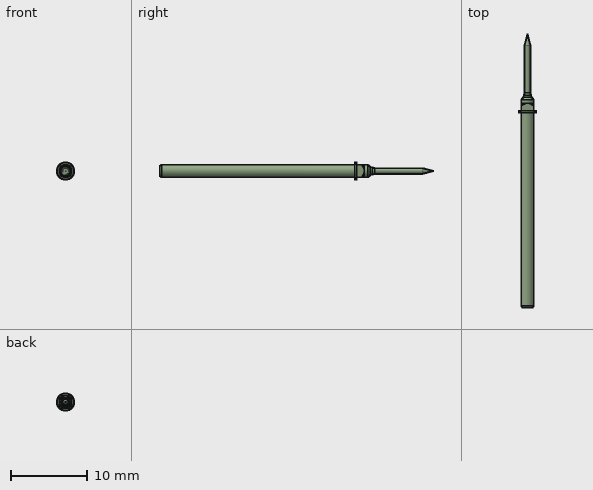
import cadquery as cq

total_length = 35.8
tip_length = 1.43
shaft_end = 7.7
neck_end = 8.02
shoulder_start = 8.27
shoulder_end = 8.55
square_start = 9.02
flange_start = 10.02
flange_thickness = 0.3
end_chamfer_length = 0.25

point_diameter = 0.05
shaft_diameter = 0.8
neck_diameter = 1.0
taper_diameter = 1.18
body_diameter = 1.65
end_face_diameter = 1.3
flange_diameter = 2.3

square_side = body_diameter

tip_y = total_length / 2


def round_section(start, end, start_diameter, end_diameter=None):
    """Solid of revolution about Y between two stations: a cylinder, or a cone if the diameters differ."""
    start_radius = start_diameter / 2
    end_radius = (end_diameter or start_diameter) / 2
    return (
        cq.Workplane("YZ")
        .moveTo(tip_y - start, 0)
        .lineTo(tip_y - start, start_radius)
        .lineTo(tip_y - end, end_radius)
        .lineTo(tip_y - end, 0)
        .close()
        .revolve(360, (0, 0, 0), (1, 0, 0))
    )


def needle():
    """Pointed tip and slender shaft."""
    tip = round_section(0, tip_length, point_diameter, shaft_diameter)
    shaft = round_section(tip_length, shaft_end, shaft_diameter)
    return tip.union(shaft)


def shoulder():
    """Flared neck and tapered transition from the shaft up to the body diameter."""
    flare = round_section(shaft_end, neck_end, shaft_diameter, neck_diameter)
    neck = round_section(neck_end, shoulder_start, neck_diameter)
    taper = round_section(shoulder_start, shoulder_end, taper_diameter, body_diameter)
    collar = round_section(shoulder_end, square_start, body_diameter)
    return flare.union(neck).union(taper).union(collar)


def square_seat():
    """Square ahead of the flange, its corners kept within the flange and coned at 45 degrees in front."""
    length = flange_start - square_start
    square = (
        cq.Workplane("XZ", origin=(0, tip_y - square_start, 0))
        .rect(square_side, square_side)
        .extrude(length)
    )
    corner_taper_length = (flange_diameter - body_diameter) / 2
    taper_end = square_start + corner_taper_length
    envelope = round_section(square_start, taper_end, body_diameter, flange_diameter).union(
        round_section(taper_end, flange_start, flange_diameter)
    )
    return square.intersect(envelope)


def barrel():
    """Flange and long body with a chamfered rear end."""
    flange_end = flange_start + flange_thickness
    chamfer_start = total_length - end_chamfer_length
    flange = round_section(flange_start, flange_end, flange_diameter)
    body = round_section(flange_end, chamfer_start, body_diameter)
    chamfered_end = round_section(chamfer_start, total_length, body_diameter, end_face_diameter)
    return flange.union(body).union(chamfered_end)


result = needle().union(shoulder()).union(square_seat()).union(barrel())